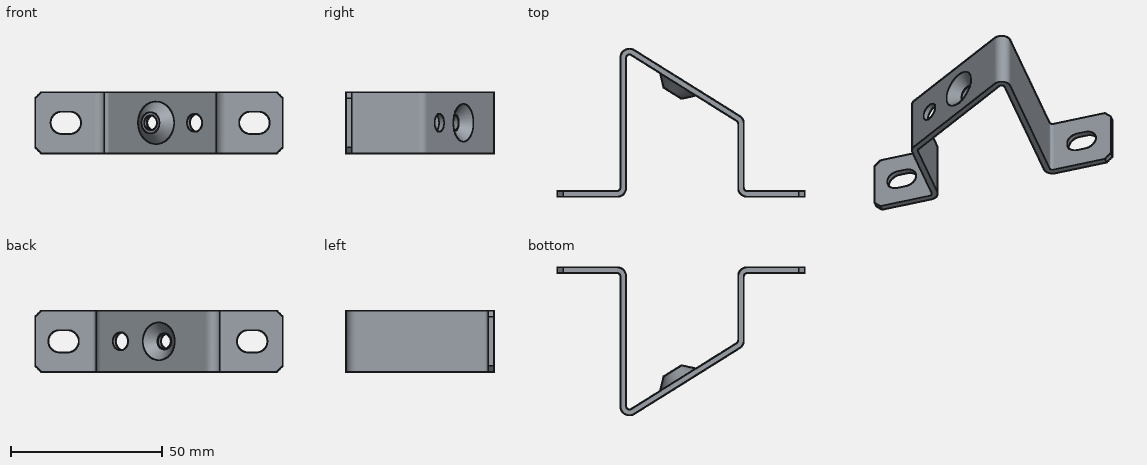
import cadquery as cq
import math

length = 81.9
depth = 49.0
height = 20.3
thickness = 2.0
bend_outer = 3.0
bend_inner = bend_outer - thickness

left_wall = -20.1
right_wall = 20.8
slope_angle = 32.0

foot_chamfer = 2.05
slot_length = 10.0
slot_width = 7.3
slot_from_wall = 10.7

cone_x = -1.0
cone_base_radius = 7.05
cone_tip_radius = 3.5
cone_height = 3.4
cone_hole_diameter = 4.9
plain_hole_diameter = 5.9
plain_hole_spacing = 15.0

slope = math.radians(slope_angle)
left_bend_x = left_wall + bend_outer
left_bend_y = depth - bend_outer


def slope_y(x, bend_radius):
    """Y of the sloping face that is tangent to the upper left bend of this radius."""
    return left_bend_y + bend_radius / math.cos(slope) - (x - left_bend_x) * math.tan(slope)


left_inner = left_wall + thickness
right_inner = right_wall - thickness
half_length = length / 2
top_outer = [(left_wall, slope_y(left_wall, bend_outer)), (right_wall, slope_y(right_wall, bend_outer))]
top_inner = [(left_inner, slope_y(left_inner, bend_inner)), (right_inner, slope_y(right_inner, bend_inner))]
foot_outer = [(left_inner, 0), (right_inner, 0)]
foot_inner = [(left_wall, thickness), (right_wall, thickness)]

strip = (
    cq.Workplane("XY", origin=(0, 0, -height / 2))
    .moveTo(-half_length, 0)
    .lineTo(-half_length, thickness)
    .lineTo(*foot_inner[0])
    .lineTo(*top_outer[0])
    .lineTo(*top_outer[1])
    .lineTo(*foot_inner[1])
    .lineTo(half_length, thickness)
    .lineTo(half_length, 0)
    .lineTo(*foot_outer[1])
    .lineTo(*top_inner[1])
    .lineTo(*top_inner[0])
    .lineTo(*foot_outer[0])
    .close()
    .extrude(height)
)


def round_corners(body, corners, radius):
    """Round the upright edges that stand at the given corners."""
    for x, y in corners:
        body = body.edges(cq.NearestToPointSelector((x, y, 0))).fillet(radius)
    return body


strip = round_corners(strip, top_outer + foot_outer, bend_outer)
strip = round_corners(strip, top_inner + foot_inner, bend_inner)

strip = strip.faces("<X or >X").edges("|Y").chamfer(foot_chamfer)
slot_centers = [(left_wall - slot_from_wall, 0), (right_wall + slot_from_wall, 0)]
slots = (
    cq.Workplane("XZ")
    .pushPoints(slot_centers)
    .slot2D(slot_length, slot_width)
    .extrude(-thickness)
)
strip = strip.cut(slots)

cone_y = slope_y(cone_x, bend_inner)
face = cq.Plane(
    origin=(cone_x, cone_y, 0),
    xDir=(math.cos(slope), -math.sin(slope), 0),
    normal=(-math.sin(slope), -math.cos(slope), 0),
)


def cone(base_radius, tip_radius, start):
    """Frustum of the cone height, starting at a distance along the face normal."""
    return (
        cq.Workplane(face)
        .workplane(offset=start)
        .circle(base_radius)
        .workplane(offset=cone_height)
        .circle(tip_radius)
        .loft()
    )


def hole(along, diameter):
    """Round hole square to the sloping wall, through the sheet and the cone."""
    return (
        cq.Workplane(face)
        .workplane(offset=-thickness)
        .center(along, 0)
        .circle(diameter / 2)
        .extrude(thickness + cone_height)
    )


flank_run = cone_base_radius - cone_tip_radius
flank_length = math.hypot(flank_run, cone_height)
hollow_inset = thickness * (flank_length - flank_run) / cone_height
hollow = cone(cone_base_radius - hollow_inset, cone_tip_radius - hollow_inset, -thickness)

result = (
    strip.union(cone(cone_base_radius, cone_tip_radius, 0))
    .cut(hollow)
    .cut(hole(0, cone_hole_diameter))
    .cut(hole(plain_hole_spacing, plain_hole_diameter))
)